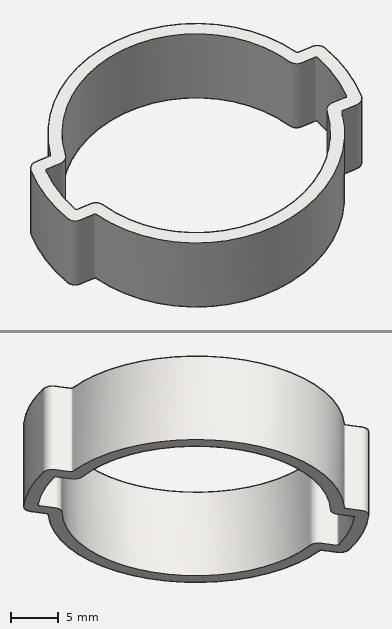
import cadquery as cq

height = 10.0
wall = 1.5
ring_diameter = 31.17
ear_radius = 18.15
ear_width = 9.5
outside_bend = 1.1
inside_bend = 0.2


def eared_disc(disc_radius, tip_radius, width, tip_bend, root_bend):
    """Disc with an arc-capped ear at +Y and -Y, rounded at the ear tips and roots."""
    disc = cq.Workplane("XY").circle(disc_radius).extrude(height)
    strip = cq.Workplane("XY").rect(width, 2 * tip_radius).extrude(height)
    ears = cq.Workplane("XY").circle(tip_radius).extrude(height).intersect(strip)

    ears = ears.edges("|Z").fillet(tip_bend)
    body = disc.union(ears)

    root_y = (disc_radius**2 - (width / 2) ** 2) ** 0.5
    for x in (-width / 2, width / 2):
        for y in (-root_y, root_y):
            root = cq.selectors.NearestToPointSelector((x, y, height / 2))
            body = body.edges("|Z").edges(root).fillet(root_bend)
    return body


outer = eared_disc(ring_diameter / 2, ear_radius, ear_width, outside_bend, inside_bend)
inner = eared_disc(
    ring_diameter / 2 - wall,
    ear_radius - wall,
    ear_width - 2 * wall,
    inside_bend,
    outside_bend,
)
result = outer.cut(inner)